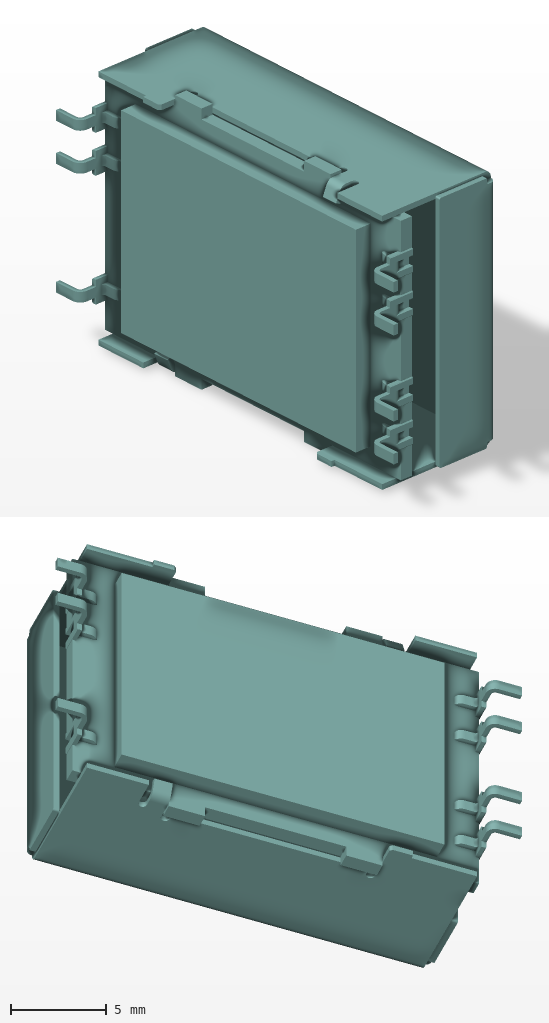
import cadquery as cq
import math


can_back = 8.8
sheet = 0.35
can_half_height = 16.2 / 2
wall_half_length = 11.0
wall_front = 1.1
flange_outer = 11.4
flange_front = 4.8
flange_half_height = 7.98
flange_corner_radius = 0.1
bend_strip_half_height = 7.6
relief_start = 8.1
relief_slant = 0.08
fold_radius = 0.4

window_half = 6.02
relief_width = 0.47
relief_depth = 0.55
relief_mouth_radius = 0.24
clip_width = 1.02
clip_bend_start = 2.17
clip_bend_radius = 0.52
clip_bend_angle = math.radians(68)
clip_straight = 0.65
tab_width = 1.28
tab_projection = 0.2
tab_chamfer = 0.13

board_front = 2.0
board_back = 2.77
board_half_length = 11.45
board_half_height = 7.66
ear_half_height = 16.6 / 2
ear_inner = 3.98
block_half_length = 18.18 / 2
block_half_height = 13.15 / 2
block_front = 0.97

lead_thickness = 0.3
lead_width = 0.63
lead_tip = 13.08
lead_face = 11.54
foot_bend_inner = 0.24
hinge_inner = 0.15
pin_bend_outer = 0.55
lead_plate_width = 1.46
lead_plate_front = 1.15
lead_plate_chamfer = 0.05
pin_corner_radius = 0.24
pin_tip = 10.0
lead_pitch = 2.55
right_leads = (-2 * lead_pitch, -lead_pitch, lead_pitch, 2 * lead_pitch)
left_leads = (-2 * lead_pitch, lead_pitch, 2 * lead_pitch)

lead_inner_face = lead_face - lead_thickness
hinge_outer = hinge_inner + lead_thickness
hinge_y = board_front - hinge_outer


def block(x0, x1, y0, y1, z0, z1):
    """Box between two corners."""
    return cq.Workplane("XY").box(x1 - x0, y1 - y0, z1 - z0, centered=False).translate((x0, y0, z0))


def centred_block(half_x, y0, y1, half_z):
    """Box centred on the Y axis in X and Z, from y0 to y1."""
    return block(-half_x, half_x, y0, y1, -half_z, half_z)


def half_turn(body):
    """Copy turned half a turn about Y."""
    return body.rotate((0, 0, 0), (0, 1, 0), 180)


def long_walls():
    """Back plate with the top and bottom walls folded forward from it."""
    outer = centred_block(wall_half_length, wall_front, can_back, can_half_height)
    outer = outer.edges("|X and >Y").fillet(fold_radius)
    inner_half = can_half_height - sheet
    return outer.cut(centred_block(wall_half_length, wall_front, can_back - sheet, inner_half))


def end_flanges():
    """Short flanges at both X ends, narrowed at their folds by the corner reliefs."""
    outer = centred_block(flange_outer, flange_front, can_back, flange_half_height)
    outer = outer.edges("|Z and >Y").fillet(fold_radius)
    outer = outer.edges("|X and <Y").fillet(flange_corner_radius)
    inner_half = flange_outer - sheet
    flanges = outer.cut(centred_block(inner_half, flange_front, can_back - sheet, flange_half_height))
    relief = (
        cq.Workplane("YZ")
        .polyline([
            (relief_start, flange_half_height),
            (relief_start + relief_slant, bend_strip_half_height),
            (can_back, bend_strip_half_height),
            (can_back, flange_half_height),
        ])
        .close()
        .extrude(flange_outer, both=True)
    )
    return flanges.cut(relief).cut(half_turn(relief))


def relief_slot(x_start, y_end):
    """Round-ended slot through the top wall, running in from its front edge."""
    radius = relief_width / 2
    z_low = can_half_height - sheet
    straight = block(x_start, x_start + relief_width, wall_front, y_end - radius, z_low, can_half_height)
    rounding = (
        cq.Workplane("XY", origin=(x_start + radius, y_end - radius, z_low)).circle(radius).extrude(sheet)
    )
    return straight.union(rounding)


def wall_opening():
    """Window for the board ears, its corner reliefs, and the room around the clip."""
    z_low = can_half_height - sheet
    clip_end = window_half + clip_width
    window = block(-window_half, window_half, wall_front, board_back, z_low, can_half_height)
    below_clip = block(window_half, clip_end, wall_front, clip_bend_start, z_low, can_half_height)
    opening = window.union(below_clip).union(relief_slot(clip_end, board_back))
    for x_start in (-window_half, window_half - relief_width):
        opening = opening.union(relief_slot(x_start, board_back + relief_depth))
    mouth_x = window_half - relief_width
    for x in (-mouth_x, mouth_x):
        mouth_corner = cq.selectors.NearestToPointSelector((x, board_back, can_half_height - sheet / 2))
        opening = opening.edges(mouth_corner).fillet(relief_mouth_radius)
    return opening


def clip():
    """Tongue that bends inward over the front face of the board."""
    centre_z = can_half_height - clip_bend_radius
    inner_radius = clip_bend_radius - sheet
    along = (-math.cos(clip_bend_angle) * clip_straight, -math.sin(clip_bend_angle) * clip_straight)

    def on_arc(radius, angle):
        return (clip_bend_start - radius * math.sin(angle), centre_z + radius * math.cos(angle))

    outer_end = on_arc(clip_bend_radius, clip_bend_angle)
    inner_end = on_arc(inner_radius, clip_bend_angle)
    return (
        cq.Workplane("YZ", origin=(window_half, 0, 0))
        .moveTo(*on_arc(clip_bend_radius, 0))
        .threePointArc(on_arc(clip_bend_radius, clip_bend_angle / 2), outer_end)
        .lineTo(outer_end[0] + along[0], outer_end[1] + along[1])
        .lineTo(inner_end[0] + along[0], inner_end[1] + along[1])
        .lineTo(*inner_end)
        .threePointArc(on_arc(inner_radius, clip_bend_angle / 2), on_arc(inner_radius, 0))
        .close()
        .extrude(clip_width)
    )


def wall_tab():
    """Small foot on the wall's front edge, chamfered at the window side."""
    tab = block(
        -window_half - tab_width, -window_half,
        wall_front - tab_projection, wall_front,
        can_half_height - sheet, can_half_height,
    )
    return tab.edges("|Z and <Y and >X").chamfer(tab_chamfer)


def can():
    body = long_walls().union(end_flanges())
    opening = wall_opening()
    body = body.cut(opening).cut(half_turn(opening))
    for addition in (clip(), wall_tab()):
        body = body.union(addition).union(half_turn(addition))
    return body


def board():
    """Board with four ears that reach into the can windows, and the block on its front."""
    body = centred_block(board_half_length, board_front, board_back, board_half_height)
    for x_start in (-window_half, ear_inner):
        x_end = x_start + window_half - ear_inner
        body = body.union(block(x_start, x_end, board_front, board_back, -ear_half_height, ear_half_height))
    half_notch = lead_plate_width / 2
    notch = block(lead_inner_face, board_half_length, board_front, board_back, -half_notch, half_notch)
    for z in right_leads:
        body = body.cut(notch.translate((0, 0, z)))
    for z in left_leads:
        body = body.cut(half_turn(notch).translate((0, 0, z)))
    return body.union(centred_block(block_half_length, block_front, board_front, block_half_height))


def strip(outline):
    """Lead strip of standard width from a closed outline in X and Y."""
    return outline.close().extrude(lead_width / 2, both=True)


def diagonal_point(centre, radius, side):
    """Midpoint of a quarter bend, up and right of its centre (side 1) or down and left (side -1)."""
    offset = side * radius * math.sqrt(0.5)
    return (centre[0] + offset, centre[1] + offset)


def lead():
    """Gull-wing lead on the +X side, centred on Z = 0."""
    plate = block(
        lead_inner_face, lead_face, lead_plate_front, board_back, -lead_plate_width / 2, lead_plate_width / 2
    )
    plate = plate.edges("|Y and >X").chamfer(lead_plate_chamfer)
    slot = block(lead_inner_face, lead_face, hinge_y, board_back, -lead_width / 2, lead_width / 2)

    foot_bend_outer = foot_bend_inner + lead_thickness
    foot_bend = (lead_face + foot_bend_inner, foot_bend_outer)
    leg = strip(
        cq.Workplane("XY")
        .moveTo(lead_inner_face, hinge_y)
        .lineTo(lead_inner_face, foot_bend_outer)
        .threePointArc(diagonal_point(foot_bend, foot_bend_outer, -1), (foot_bend[0], 0))
        .lineTo(lead_tip, 0)
        .lineTo(lead_tip, lead_thickness)
        .lineTo(foot_bend[0], lead_thickness)
        .threePointArc(diagonal_point(foot_bend, foot_bend_inner, -1), (lead_face, foot_bend_outer))
        .lineTo(lead_face, hinge_y)
    )

    tongue_front = board_front - lead_thickness
    pin_bend_inner = pin_bend_outer - lead_thickness
    hinge = (lead_face - hinge_outer, hinge_y)
    pin_bend = (pin_tip + pin_bend_outer, tongue_front + pin_bend_outer)
    tongue = strip(
        cq.Workplane("XY")
        .moveTo(lead_face, hinge_y)
        .threePointArc(diagonal_point(hinge, hinge_outer, 1), (hinge[0], board_front))
        .lineTo(pin_bend[0], board_front)
        .threePointArc(
            diagonal_point(pin_bend, pin_bend_inner, -1), (pin_bend[0] - pin_bend_inner, pin_bend[1])
        )
        .lineTo(pin_tip, pin_bend[1])
        .threePointArc(diagonal_point(pin_bend, pin_bend_outer, -1), (pin_bend[0], tongue_front))
        .lineTo(hinge[0], tongue_front)
        .threePointArc(diagonal_point(hinge, hinge_inner, 1), (lead_inner_face, hinge_y))
    )
    rounded_tip = block(pin_tip, lead_face, 0, board_back, -lead_width / 2, lead_width / 2)
    tongue = tongue.intersect(rounded_tip.edges("|Y and <X").fillet(pin_corner_radius))
    return plate.cut(slot).union(leg).union(tongue)


result = can().union(board())
right_lead = lead()
left_lead = half_turn(right_lead)
for lead_z in right_leads:
    result = result.union(right_lead.translate((0, 0, lead_z)))
for lead_z in left_leads:
    result = result.union(left_lead.translate((0, 0, lead_z)))